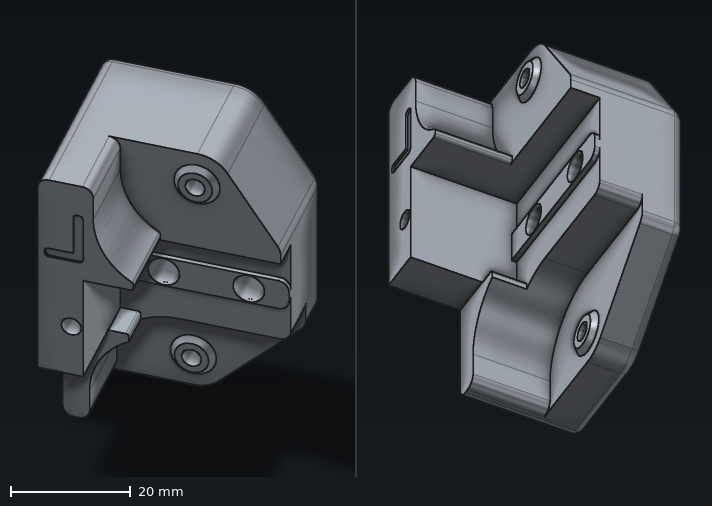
import cadquery as cq
import math

width = 38.0
depth = 36.0
height = 60.0
edge_radius = 2.0

corner_radius = 6.4
upper_boss = (23.3, height - corner_radius)
lower_boss = (18.25, corner_radius)
boss_diameter = 8.05
boss_height = 1.0
boss_hole = 3.4
wall_curve_radius = 13.5

upper_slope_angle = 33.5
lower_slope_angle = 45.0
slope_radius = 3.0

upper_plate_y = 14.5
lower_wall_y = upper_plate_y - boss_height
lower_plate_y = lower_wall_y + upper_plate_y
floor_y = 20.0
rib_y = 19.0

bar_bottom = corner_radius + wall_curve_radius
bar_top = 40.2
bar_middle = height / 2
column_width = 8.05
rib_height = 5.9

upper_tip_x = 16.85
lower_tip_x = 11.65
lower_tip_top = height - bar_top
tip_radius = 0.6

pin_hole_x = 5.95
pin_hole = 3.5
screw_hole_xs = (15.95, 30.9)
screw_hole = 5.5

groove_width = 1.8
groove_depth = 0.4
groove_left = 1.2
groove_bottom = 43.8
groove_top = 53.75


def at_depth(y):
    """Workplane facing the front, with local X and Y along global X and Z."""
    return cq.Workplane("XZ", origin=(0, y, 0))


def block(left, right, bottom, top, front, back):
    return cq.Workplane("XY").box(right - left, back - front, top - bottom, centered=False).translate(
        (left, front, bottom)
    )


def round_upright(solid, x, z, radius):
    """Round the Y-parallel edges near the point (x, z)."""
    reach = 0.05
    box = cq.selectors.BoxSelector((x - reach, -depth, z - reach), (x + reach, 2 * depth, z + reach))
    return solid.edges("|Y").edges(box).fillet(radius)


def on_circle(center, radius, degrees):
    angle = math.radians(degrees)
    return (center[0] + radius * math.cos(angle), center[1] + radius * math.sin(angle))


def outline_body(front):
    """The outer outline, from the given depth to the back face."""
    upper_end = on_circle(upper_boss, corner_radius, upper_slope_angle)
    lower_end = on_circle(lower_boss, corner_radius, -lower_slope_angle)
    upper_drop = (width - upper_end[0]) / math.tan(math.radians(upper_slope_angle))
    lower_rise = (width - lower_end[0]) / math.tan(math.radians(lower_slope_angle))
    upper_vertex = upper_end[1] - upper_drop
    lower_vertex = lower_end[1] + lower_rise
    upper_mid = on_circle(upper_boss, corner_radius, (90 + upper_slope_angle) / 2)
    lower_mid = on_circle(lower_boss, corner_radius, -(90 + lower_slope_angle) / 2)
    body = (
        at_depth(front)
        .moveTo(0, 0)
        .lineTo(lower_boss[0], 0)
        .threePointArc(lower_mid, lower_end)
        .lineTo(width, lower_vertex)
        .lineTo(width, upper_vertex)
        .lineTo(*upper_end)
        .threePointArc(upper_mid, (upper_boss[0], height))
        .lineTo(0, height)
        .close()
        .extrude(front - depth)
    )
    for x, z, radius in (
        (0, 0, edge_radius),
        (0, height, edge_radius),
        (width, upper_vertex, slope_radius),
        (width, lower_vertex, slope_radius),
    ):
        body = round_upright(body, x, z, radius)
    return body


def curve_height(run):
    """Vertical offset of the wall curve at a horizontal offset from its boss."""
    return math.sqrt(wall_curve_radius**2 - run**2)


def upper_wall():
    edge_x = upper_boss[0] - wall_curve_radius
    tip_z = upper_boss[1] - curve_height(upper_boss[0] - upper_tip_x)
    wall = (
        at_depth(0)
        .moveTo(0, bar_top)
        .lineTo(upper_tip_x, bar_top)
        .lineTo(upper_tip_x, tip_z)
        .threePointArc(on_circle(upper_boss, wall_curve_radius, 210), (edge_x, upper_boss[1]))
        .lineTo(edge_x, height)
        .lineTo(0, height)
        .close()
        .extrude(-floor_y)
    )
    wall = round_upright(wall, 0, height, edge_radius)
    wall = round_upright(wall, edge_x, height, edge_radius)
    wall = round_upright(wall, upper_tip_x, bar_top, tip_radius)
    return round_upright(wall, upper_tip_x, tip_z, tip_radius)


def lower_wall():
    edge_x = lower_boss[0] - wall_curve_radius
    tip_z = lower_boss[1] + curve_height(lower_boss[0] - lower_tip_x)
    wall = (
        at_depth(lower_wall_y)
        .moveTo(0, 0)
        .lineTo(edge_x, 0)
        .lineTo(edge_x, lower_boss[1])
        .threePointArc(on_circle(lower_boss, wall_curve_radius, 150), (lower_tip_x, tip_z))
        .lineTo(lower_tip_x, lower_tip_top)
        .lineTo(column_width, lower_tip_top)
        .lineTo(column_width, bar_bottom)
        .lineTo(0, bar_bottom)
        .close()
        .extrude(lower_wall_y - lower_plate_y)
    )
    wall = round_upright(wall, 0, 0, edge_radius)
    wall = round_upright(wall, edge_x, 0, edge_radius)
    return round_upright(wall, lower_tip_x, lower_tip_top, tip_radius)


def lower_web():
    """Web behind the wall tip; its curve runs out tangent to the crossbar."""
    edge_x = lower_boss[0] - wall_curve_radius
    return (
        at_depth(floor_y)
        .moveTo(0, lower_boss[1])
        .lineTo(edge_x, lower_boss[1])
        .threePointArc(on_circle(lower_boss, wall_curve_radius, 135), (lower_boss[0], bar_bottom))
        .lineTo(0, bar_bottom)
        .close()
        .extrude(floor_y - lower_plate_y)
    )


def crossbar():
    """Floor with a rounded lower corner, the raised rib and the front column."""
    floor = block(0, width, bar_bottom, bar_top, floor_y, lower_plate_y)
    floor = round_upright(floor, width, bar_bottom, edge_radius)
    rib_bottom = bar_middle - rib_height / 2
    rib_top = bar_middle + rib_height / 2
    rib = block(0, width, rib_bottom, rib_top, rib_y, floor_y)
    rib = round_upright(rib, width, rib_bottom, edge_radius)
    rib = round_upright(rib, width, rib_top, edge_radius)
    column = block(0, column_width, bar_bottom, bar_top, 0, floor_y)
    return floor.union(rib).union(column)


def boss(center, plate_y):
    """Conical boss with 45 degree sides standing on a plate."""
    return at_depth(plate_y).center(*center).circle(boss_diameter / 2).extrude(boss_height, taper=45)


def through_hole(x, z, diameter):
    return at_depth(0).center(x, z).circle(diameter / 2).extrude(-depth)


def groove():
    """Two round-ended arms meeting at the lower right."""
    radius = groove_width / 2
    corner_x = column_width - radius
    corner_z = groove_bottom + radius
    long_arm = groove_top - groove_bottom
    short_arm = column_width - groove_left
    upright = at_depth(0).center(corner_x, groove_bottom + long_arm / 2).slot2D(long_arm, groove_width, 90)
    level = at_depth(0).center(groove_left + short_arm / 2, corner_z).slot2D(short_arm, groove_width)
    return upright.extrude(-groove_depth).union(level.extrude(-groove_depth))


lower_plate = outline_body(lower_plate_y).faces(">Y").edges().fillet(edge_radius)
upper_plate = outline_body(upper_plate_y).intersect(
    block(0, width, bar_top, height, upper_plate_y, lower_plate_y)
)

result = lower_plate.union(upper_plate).union(crossbar())
result = result.union(upper_wall()).union(lower_wall()).union(lower_web())
for center, plate_y in ((upper_boss, upper_plate_y), (lower_boss, lower_plate_y)):
    result = result.union(boss(center, plate_y))
    result = result.cut(through_hole(*center, boss_hole))

result = result.cut(through_hole(pin_hole_x, bar_middle, pin_hole))
for x in screw_hole_xs:
    result = result.cut(through_hole(x, bar_middle, screw_hole))
result = result.cut(groove())